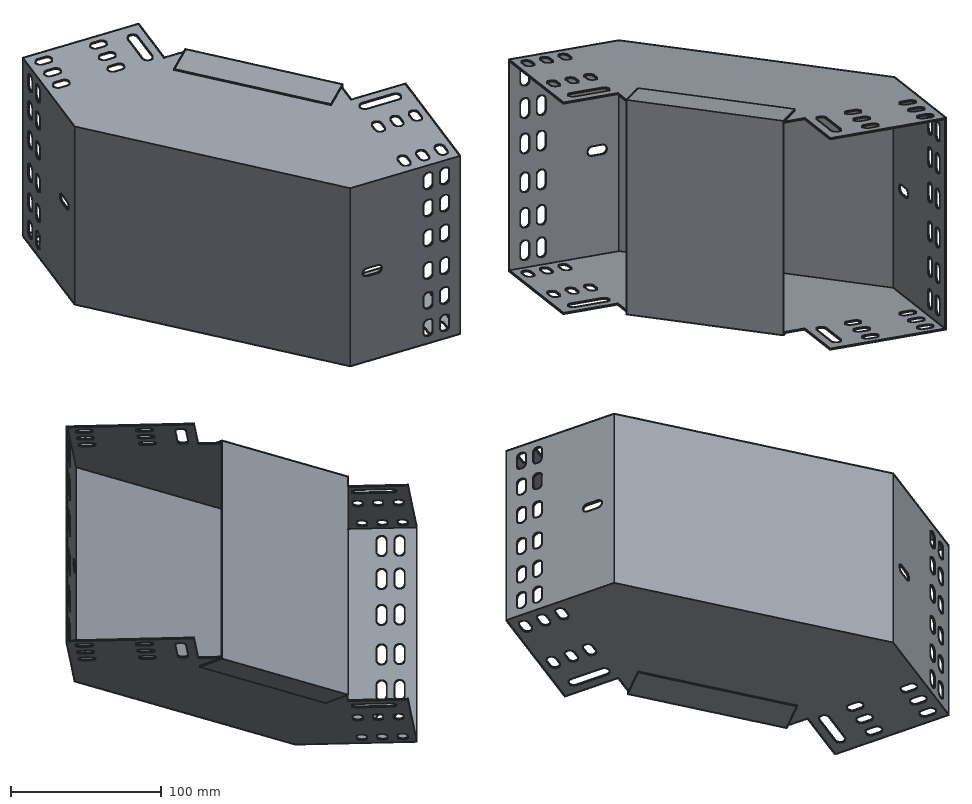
import cadquery as cq
import math

LENGTH = 308.0
DEPTH = 117.0
HEIGHT = 153.0
SHEET = 1.0

CHANNEL_HEIGHT = HEIGHT - 2 * SHEET
WING_ANGLE = 45.0
WING_RUN = 57.0
WING_BACK_LENGTH = 39.7

BRACE_LENGTH = 110.5
BRACE_FLANGE = 22.5
BRACE_BACK = 101.0

FLANGE_SLOT_LENGTH = 11.7
FLANGE_SLOT_WIDTH = 6.8
FLANGE_SLOT_FIRST_ALONG = 8.5
FLANGE_SLOT_PITCH = 13.5
FLANGE_SLOT_COUNT = 3
FLANGE_SLOT_ACROSS = (11.5, 51.5)

LONG_SLOT_LENGTH = 30.0
LONG_SLOT_WIDTH = 7.0
LONG_SLOT_ALONG = 23.0
LONG_SLOT_ACROSS = 75.2

WALL_SLOT_LENGTH = 14.2
WALL_SLOT_WIDTH = 6.8
WALL_SLOT_ALONG = (11.5, 23.5)
WALL_SLOT_LEVELS = (14.0, 39.0, 62.2)

CENTRE_SLOT_LENGTH = 14.2
CENTRE_SLOT_WIDTH = 6.8
CENTRE_SLOT_ALONG = 64.5

HALF_LENGTH = LENGTH / 2
FRONT_CORNER_X = HALF_LENGTH - WING_RUN
TIP_X = HALF_LENGTH - (DEPTH - WING_RUN)
NOTCH_STEP = WING_BACK_LENGTH * math.cos(math.radians(WING_ANGLE))
NOTCH_X = TIP_X - NOTCH_STEP
NOTCH_Y = DEPTH - NOTCH_STEP
FLANGE_BACK = BRACE_BACK - SHEET
FLANGE_BACK_X = NOTCH_X - (FLANGE_BACK - NOTCH_Y)


def mirrored_about_yz(right_half):
    """Complete an outline from its right half, listed from front to back."""
    left_half = [(-x, y) for x, y in reversed(right_half)]
    return right_half + left_half


def flange_plan():
    """Outline shared by the top and bottom flanges."""
    return mirrored_about_yz([
        (FRONT_CORNER_X, 0),
        (HALF_LENGTH, WING_RUN),
        (TIP_X, DEPTH),
        (NOTCH_X, NOTCH_Y),
        (FLANGE_BACK_X, FLANGE_BACK),
    ])


def channel_cavity():
    """Space between the flanges and behind the bent wall, open at the back and at both ends."""
    wall_shift = SHEET * math.tan(math.radians(WING_ANGLE / 2))
    beyond = DEPTH
    plan = mirrored_about_yz([
        (FRONT_CORNER_X - wall_shift, SHEET),
        (FRONT_CORNER_X - wall_shift + beyond, SHEET + beyond),
    ])
    inner_height = CHANNEL_HEIGHT - 2 * SHEET
    return cq.Workplane("XY").polyline(plan).close().extrude(inner_height / 2, both=True)


def left_wing_slots(normal, places, length, width, turn, reach):
    """Cutters for equal slots on the left wing, reaching the same distance to both sides.

    Places are measured from the outer front corner of the wing's end, first down the wing;
    a turn of 0 lays the slots along the wing.
    """
    slope = math.radians(WING_ANGLE)
    down_the_wing = (math.cos(slope), -math.sin(slope), 0)
    wing = cq.Workplane(cq.Plane(origin=(-HALF_LENGTH, WING_RUN, 0), xDir=down_the_wing, normal=normal))
    return wing.pushPoints(places).slot2D(length, width, turn).extrude(reach, both=True)


def flange_slot_cutters():
    """Slots that pass through both flanges of the left wing."""
    up = (0, 0, 1)
    short_places = [
        (FLANGE_SLOT_FIRST_ALONG + i * FLANGE_SLOT_PITCH, across)
        for i in range(FLANGE_SLOT_COUNT)
        for across in FLANGE_SLOT_ACROSS
    ]
    long_place = [(LONG_SLOT_ALONG, LONG_SLOT_ACROSS)]
    return [
        left_wing_slots(up, short_places, FLANGE_SLOT_LENGTH, FLANGE_SLOT_WIDTH, 90, HEIGHT / 2),
        left_wing_slots(up, long_place, LONG_SLOT_LENGTH, LONG_SLOT_WIDTH, 0, HEIGHT / 2),
    ]


def wall_slot_cutters():
    """Slots through the wall of the left wing."""
    slope = math.radians(WING_ANGLE)
    outward = (-math.sin(slope), -math.cos(slope), 0)
    upright_places = [
        (along, side * level)
        for along in WALL_SLOT_ALONG
        for level in WALL_SLOT_LEVELS
        for side in (-1, 1)
    ]
    centre_place = [(CENTRE_SLOT_ALONG, 0)]
    reach = 2 * SHEET
    return [
        left_wing_slots(outward, upright_places, WALL_SLOT_LENGTH, WALL_SLOT_WIDTH, 90, reach),
        left_wing_slots(outward, centre_place, CENTRE_SLOT_LENGTH, CENTRE_SLOT_WIDTH, 0, reach),
    ]


def make_channel():
    """Bent sheet-metal channel with a slotted wing at each end."""
    body = cq.Workplane("XY").polyline(flange_plan()).close().extrude(CHANNEL_HEIGHT / 2, both=True)
    body = body.cut(channel_cavity())
    for cutter in flange_slot_cutters() + wall_slot_cutters():
        body = body.cut(cutter).cut(cutter.mirror("YZ"))
    return body


def make_brace():
    """C-shaped sheet that closes the back and laps over both flanges of the channel."""
    middle_y = BRACE_BACK - BRACE_FLANGE / 2
    body = cq.Workplane("XY").box(BRACE_LENGTH, BRACE_FLANGE, HEIGHT).translate((0, middle_y, 0))
    inside = cq.Workplane("XY").box(BRACE_LENGTH, BRACE_FLANGE, CHANNEL_HEIGHT)
    return body.cut(inside.translate((0, middle_y - SHEET, 0)))


channel = make_channel()
brace = make_brace()

result = cq.Compound.makeCompound([channel.val(), brace.val()])